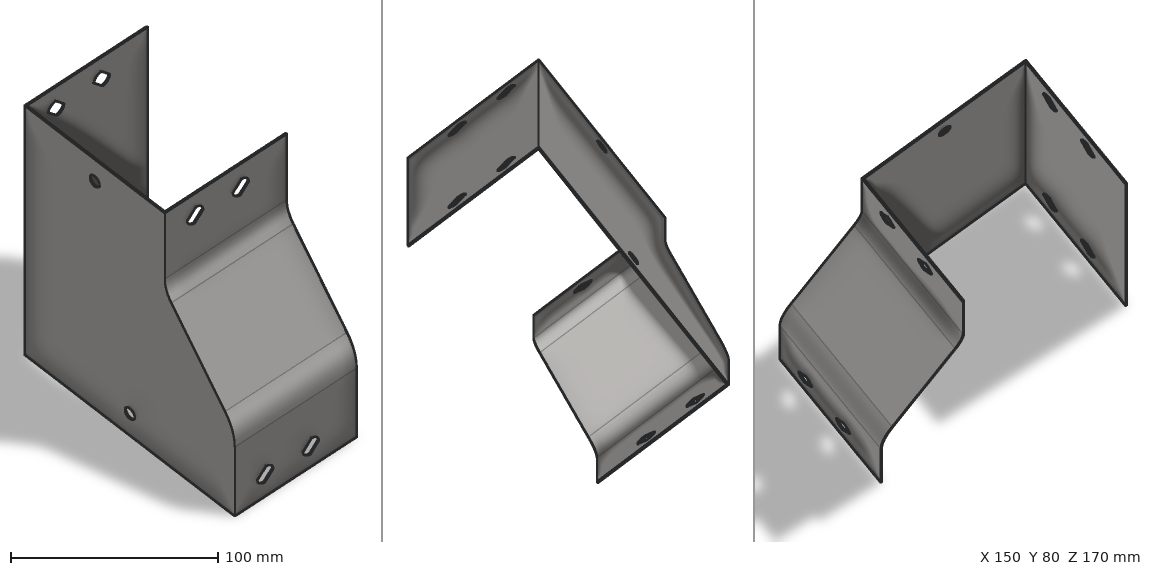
import cadquery as cq

LENGTH = 150.0
DEPTH = 80.0
HEIGHT = 170.0
SHEET = 0.76

TOP_LENGTH = 100.0
UPPER_BEND_Z = 117.8
LOWER_BEND_Z = 58.0
UPPER_BEND_RADIUS = 20.0
LOWER_BEND_RADIUS = 30.0

EDGE_DISTANCE = 15.0
HOLE_ROWS = (EDGE_DISTANCE, HEIGHT - EDGE_DISTANCE)
PLATE_HOLE_DIAMETER = 7.0
FLAT_HOLE_WIDTH = 6.8
FLAT_HOLE_LENGTH = 10.5
FLAT_HOLE_ANGLE = 45.0
INNER_FLAT_HOLE_Y = 20.0
OUTER_FLAT_HOLE_Y = 50.0
RIGHT_OUTER_FLAT_HOLE_DROP = 1.0


def outline_block():
    """Solid block with the side outline, its two slope bends rounded."""
    block = (
        cq.Workplane("XZ")
        .polyline([
            (0, 0),
            (LENGTH, 0),
            (LENGTH, LOWER_BEND_Z),
            (TOP_LENGTH, UPPER_BEND_Z),
            (TOP_LENGTH, HEIGHT),
            (0, HEIGHT),
        ])
        .close()
        .extrude(-DEPTH)
    )
    bends = (
        (LENGTH, LOWER_BEND_Z, LOWER_BEND_RADIUS),
        (TOP_LENGTH, UPPER_BEND_Z, UPPER_BEND_RADIUS),
    )
    for x, z, radius in bends:
        bend_edge = cq.selectors.NearestToPointSelector((x, DEPTH / 2, z))
        block = block.edges("|Y").edges(bend_edge).fillet(radius)
    return block


def channel():
    """Sheet channel open at the top, the bottom and the back."""
    return outline_block().faces("<Z or >Z or >Y").shell(-SHEET)


def flattened_hole(x, y, z, angle):
    """Cutter along X: a round hole with two parallel flats, turned about X from the Y direction."""
    round_part = cq.Workplane("YZ").circle(FLAT_HOLE_LENGTH / 2).extrude(2 * SHEET, both=True)
    flats = cq.Workplane("XY").box(4 * SHEET, FLAT_HOLE_LENGTH, FLAT_HOLE_WIDTH)
    cutter = round_part.intersect(flats)
    return cutter.rotate((0, 0, 0), (1, 0, 0), angle).translate((x, y, z))


def plate_hole(x, z):
    """Round cutter through the front plate."""
    return (
        cq.Workplane("XZ")
        .center(x, z)
        .circle(PLATE_HOLE_DIAMETER / 2)
        .extrude(2 * SHEET, both=True)
    )


result = channel()

for edge_length, z in zip((LENGTH, TOP_LENGTH), HOLE_ROWS):
    result = result.cut(plate_hole(edge_length / 2, z))

left_wall_x = SHEET / 2
right_wall_x = (LENGTH - SHEET / 2, TOP_LENGTH - SHEET / 2)
for z, right_x in zip(HOLE_ROWS, right_wall_x):
    for y, right_drop in ((INNER_FLAT_HOLE_Y, 0), (OUTER_FLAT_HOLE_Y, RIGHT_OUTER_FLAT_HOLE_DROP)):
        result = result.cut(flattened_hole(left_wall_x, y, z, -FLAT_HOLE_ANGLE))
        result = result.cut(flattened_hole(right_x, y, z - right_drop, FLAT_HOLE_ANGLE))